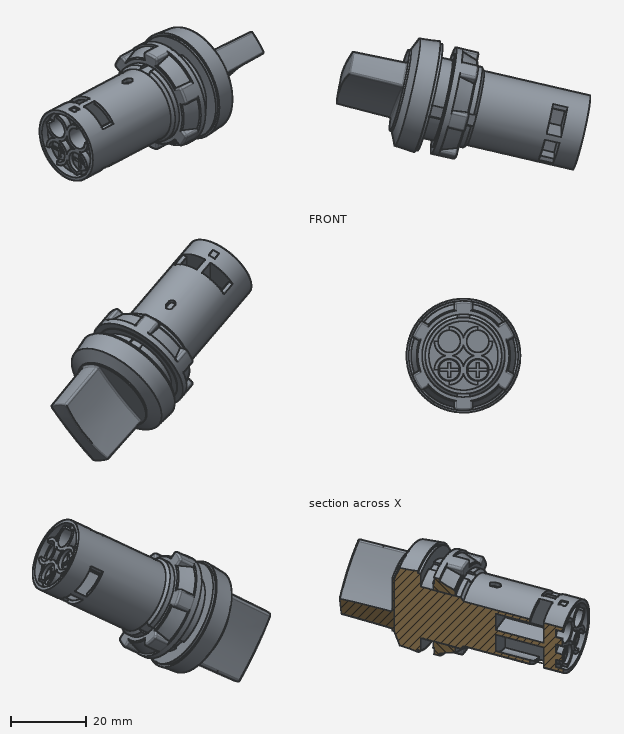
import cadquery as cq
TOTAL_LENGTH = 65.5

BARREL_RADIUS = 10.15
NECK_RADIUS = 11.0
NECK_START = 29.0
NECK_CHAMFER = 0.8
KEYWAY_WIDTH = 3.35

BEZEL_START = 41.45
BEZEL_SEAT_RADIUS = 14.55
BEZEL_RIM_Y = 42.25
BEZEL_RADIUS = 30.3 / 2
BEZEL_SHOULDER_Y = 47.6
BEZEL_SHOULDER_RADIUS = 14.7
BEZEL_FRONT_Y = 49.25
BEZEL_FRONT_RADIUS = 11.1

BARREL_BORE_RADIUS = 9.2
RECESS_DEPTH = 2.1
TERMINAL_OFFSET = 3.8
TERMINAL_BORE_RADIUS = 2.95
TERMINAL_BORE_DEPTH = 4.9
BOSS_RADIUS = 3.9
BOSS_SETBACK = 0.25

SCREW_RADIUS = 2.785
SCREW_SETBACK = 1.3
SCREW_SLOT_WIDTH = 0.8
SCREW_SLOT_DEPTH = 0.8
SCREW_SLOT_LENGTH_X = 5.0
SCREW_SLOT_LENGTH_Z = 3.9
SCREW_HUB_SIZE = 1.2

WINDOW_START = 5.75
WINDOW_LENGTH = 3.9
WINDOW_SILL_Z = 6.15
CHAMBER_INNER_X = 0.85
CHAMBER_OUTER_X = 6.9
CHAMBER_INNER_Z = 0.85
CHAMBER_END = 19.65
CATCH_START = 2.0
CATCH_WIDTH = 1.95
CATCH_LENGTH = 2.0
CATCH_SHALLOW_DEPTH = 0.1
CATCH_DEEP_DEPTH = 0.65
SLOT_CENTRE_Y = 22.85
SLOT_LENGTH = 3.15
SLOT_WIDTH = 1.95
SLOT_DEPTH = 1.3

NUT_START = 31.3
NUT_RIM_START = 35.95
NUT_RIM_END = 37.65
NUT_END = 37.9
NUT_RIM_RADIUS = 14.55
NUT_PAD_RADIUS = 12.8
CONE_LARGE_RADIUS = 13.9
CONE_SMALL_RADIUS = 12.45
CONE_END_CHAMFER = 0.3
LUG_COUNT = 6
LUG_ROOT_RADIUS = 11.65
LUG_WIDTH = 4.9
LUG_SIDE_FILLET = 0.7
LUG_END_FILLET = 0.5

KNOB_DISC_RADIUS = BEZEL_FRONT_RADIUS
KNOB_DISC_THICKNESS = 0.5
GRIP_ANGLE = -45
GRIP_HALF_LENGTH = 10.1
GRIP_HALF_THICKNESS = 3.75
GRIP_SIDE_SAG = 0.8
GRIP_END_BULGE = 0.4
GRIP_DRAFT = 1.0
GRIP_CROWN_RADIUS = 60.25
GRIP_EDGE_FILLET = 0.6
GRIP_CROWN_FILLET = 0.25
GRIP_ROOT_FILLET = 0.45

OVERSHOOT = 0.65


def cross_section(y):
    """Sketch plane across the axis: local x is X and local y is Z."""
    return cq.Workplane("XZ", origin=(0, y, 0))


def cylinder(radius, start, end, x=0, z=0):
    return cross_section(start).center(x, z).circle(radius).extrude(start - end)


def block(x_range, y_range, z_range):
    """Box between the given limits on each axis."""
    sizes = [limits[1] - limits[0] for limits in (x_range, y_range, z_range)]
    return (
        cq.Workplane("XY")
        .box(*sizes, centered=False)
        .translate((x_range[0], y_range[0], z_range[0]))
    )


def spin(profile):
    """Turn a (radius, y) profile about the Y axis."""
    return profile.close().revolve(360, (0, 0), (0, 1))


def make_housing_shell():
    """Barrel, threaded neck and bezel as one turned shape."""
    return spin(
        cq.Workplane("XY")
        .moveTo(0, 0)
        .lineTo(BARREL_RADIUS, 0)
        .lineTo(BARREL_RADIUS, NECK_START)
        .lineTo(NECK_RADIUS, NECK_START + NECK_CHAMFER)
        .lineTo(NECK_RADIUS, BEZEL_START)
        .lineTo(BEZEL_SEAT_RADIUS, BEZEL_START)
        .lineTo(BEZEL_SEAT_RADIUS, BEZEL_RIM_Y)
        .lineTo(BEZEL_RADIUS, BEZEL_RIM_Y)
        .lineTo(BEZEL_SHOULDER_RADIUS, BEZEL_SHOULDER_Y)
        .lineTo(BEZEL_FRONT_RADIUS, BEZEL_FRONT_Y)
        .lineTo(0, BEZEL_FRONT_Y)
    )


def make_keyway(side):
    """Flat-bottomed groove along the neck, on top (side = 1) or below (side = -1)."""
    half_width = KEYWAY_WIDTH / 2
    z_limits = sorted((side * BARREL_RADIUS, side * (NECK_RADIUS + OVERSHOOT)))
    return block((-half_width, half_width), (NECK_START, BEZEL_START), z_limits)


def make_terminal_recess():
    """End recess that leaves four linked bosses standing, each open in its outer quarter."""
    recess = cylinder(BARREL_BORE_RADIUS, 0, RECESS_DEPTH)
    for side_x in (-1, 1):
        for side_z in (-1, 1):
            x = side_x * TERMINAL_OFFSET
            z = side_z * TERMINAL_OFFSET
            boss = cylinder(BOSS_RADIUS, BOSS_SETBACK, RECESS_DEPTH, x, z)
            outer_quarter = block(
                sorted((x, side_x * BARREL_BORE_RADIUS)),
                (0, RECESS_DEPTH),
                sorted((z, side_z * BARREL_BORE_RADIUS)),
            )
            recess = recess.cut(boss.cut(outer_quarter))
    return recess


def make_screw(x):
    """Cross-slotted screw head standing in a lower terminal bore."""
    z = -TERMINAL_OFFSET
    head = cylinder(SCREW_RADIUS, SCREW_SETBACK, TERMINAL_BORE_DEPTH, x, z)
    face = cross_section(SCREW_SETBACK).center(x, z)
    cross = (
        face.rect(SCREW_SLOT_LENGTH_X, SCREW_SLOT_WIDTH)
        .extrude(-SCREW_SLOT_DEPTH)
        .union(face.rect(SCREW_SLOT_WIDTH, SCREW_SLOT_LENGTH_Z).extrude(-SCREW_SLOT_DEPTH))
    )
    hub = (
        cross_section(SCREW_SETBACK)
        .rect(SCREW_HUB_SIZE, SCREW_HUB_SIZE)
        .extrude(-SCREW_SLOT_DEPTH)
        .rotate((0, 0, 0), (0, 1, 0), 45)
        .translate((x, 0, z))
    )
    return head.cut(cross).cut(hub)


def make_chamber(side_x, side_z):
    """One quarter of the barrel's hollow inside, with its window out through the wall."""
    quarter = block(
        sorted((side_x * CHAMBER_INNER_X, side_x * CHAMBER_OUTER_X)),
        (WINDOW_START, CHAMBER_END),
        sorted((side_z * CHAMBER_INNER_Z, side_z * BARREL_RADIUS)),
    )
    chamber = quarter.intersect(cylinder(BARREL_BORE_RADIUS, WINDOW_START, CHAMBER_END))
    window = block(
        sorted((side_x * CHAMBER_INNER_X, side_x * BARREL_RADIUS)),
        (WINDOW_START, WINDOW_START + WINDOW_LENGTH),
        sorted((side_z * WINDOW_SILL_Z, side_z * (BARREL_RADIUS + OVERSHOOT))),
    )
    return chamber.union(window)


def make_catch():
    """Square notch on top of the barrel whose floor slopes down away from the terminals."""
    catch_end = CATCH_START + CATCH_LENGTH
    outside = BARREL_RADIUS + OVERSHOOT
    return (
        cq.Workplane("YZ")
        .moveTo(CATCH_START, outside)
        .lineTo(CATCH_START, BARREL_RADIUS - CATCH_SHALLOW_DEPTH)
        .lineTo(catch_end, BARREL_RADIUS - CATCH_DEEP_DEPTH)
        .lineTo(catch_end, outside)
        .close()
        .extrude(CATCH_WIDTH / 2, both=True)
    )


def make_top_slot():
    """Rounded slot on top of the barrel, long along Y."""
    return (
        cq.Workplane("XY", origin=(0, SLOT_CENTRE_Y, BARREL_RADIUS - SLOT_DEPTH))
        .slot2D(SLOT_LENGTH, SLOT_WIDTH, 90)
        .extrude(SLOT_DEPTH + OVERSHOOT)
    )


def make_housing():
    """Barrel with terminals, neck and bezel in one body."""
    housing = make_housing_shell().cut(make_terminal_recess())
    for side_x in (-1, 1):
        x = side_x * TERMINAL_OFFSET
        for side_z in (-1, 1):
            z = side_z * TERMINAL_OFFSET
            housing = housing.cut(cylinder(TERMINAL_BORE_RADIUS, 0, TERMINAL_BORE_DEPTH, x, z))
            housing = housing.cut(make_chamber(side_x, side_z))
        housing = housing.union(make_screw(x))
    for side in (-1, 1):
        housing = housing.cut(make_keyway(side))
    return housing.cut(make_catch()).cut(make_top_slot())


def make_lug():
    """One grip lug of the nut, pointing up along Z, with rounded outer and end edges."""
    half_width = LUG_WIDTH / 2
    lug = block(
        (-half_width, half_width),
        (NUT_START, NUT_RIM_START),
        (LUG_ROOT_RADIUS, NUT_RIM_RADIUS + OVERSHOOT),
    )
    lug = lug.intersect(cylinder(NUT_RIM_RADIUS, NUT_START, NUT_RIM_START))
    lug = lug.edges("|Y").edges(">Z").fillet(LUG_SIDE_FILLET)
    inner_edge = cq.selectors.BoxSelector(
        (-half_width, NUT_START - 0.65, LUG_ROOT_RADIUS - 0.65),
        (half_width, NUT_START + 0.65, LUG_ROOT_RADIUS + 0.65),
    )
    return lug.faces("<Y").edges(cq.selectors.InverseSelector(inner_edge)).fillet(LUG_END_FILLET)


def make_nut():
    """Threaded ring: a conical skirt with lugs, a rim and a thin pad facing the bezel."""
    nut = spin(
        cq.Workplane("XY")
        .moveTo(0, NUT_START)
        .lineTo(CONE_SMALL_RADIUS - CONE_END_CHAMFER, NUT_START)
        .lineTo(CONE_SMALL_RADIUS, NUT_START + CONE_END_CHAMFER)
        .lineTo(CONE_LARGE_RADIUS, NUT_RIM_START)
        .lineTo(0, NUT_RIM_START)
    )
    lug = make_lug()
    for index in range(LUG_COUNT):
        nut = nut.union(lug.rotate((0, 0, 0), (0, 1, 0), index * 360 / LUG_COUNT))
    nut = nut.union(cylinder(NUT_RIM_RADIUS, NUT_RIM_START, NUT_RIM_END))
    nut = nut.union(cylinder(NUT_PAD_RADIUS, NUT_RIM_END, NUT_END))
    return nut.cut(cylinder(NECK_RADIUS, NUT_START, NUT_END))


def make_grip():
    """Tapered grip with hollow broad sides, bulged narrow ends and an arched crown."""
    length = GRIP_HALF_LENGTH
    thickness = GRIP_HALF_THICKNESS
    grip = (
        cq.Workplane(cq.Plane((0, BEZEL_FRONT_Y, 0), xDir=(1, 0, 0), normal=(0, 1, 0)))
        .moveTo(-length, -thickness)
        .threePointArc((0, GRIP_SIDE_SAG - thickness), (length, -thickness))
        .threePointArc((length + GRIP_END_BULGE, 0), (length, thickness))
        .threePointArc((0, thickness - GRIP_SIDE_SAG), (-length, thickness))
        .threePointArc((-length - GRIP_END_BULGE, 0), (-length, -thickness))
        .close()
        .extrude(TOTAL_LENGTH + OVERSHOOT - BEZEL_FRONT_Y, taper=GRIP_DRAFT)
    )
    grip = grip.edges("not(>Y or <Y)").fillet(GRIP_EDGE_FILLET)
    crown = (
        cq.Workplane("XY")
        .center(0, TOTAL_LENGTH - GRIP_CROWN_RADIUS)
        .circle(GRIP_CROWN_RADIUS)
        .extrude(2 * thickness, both=True)
    )
    return grip.intersect(crown).faces(">Y").edges().fillet(GRIP_CROWN_FILLET)


def make_knob():
    """Disc seated on the bezel, with the grip rising from it at 45 degrees."""
    disc_top = BEZEL_FRONT_Y + KNOB_DISC_THICKNESS
    disc = cylinder(KNOB_DISC_RADIUS, BEZEL_FRONT_Y, disc_top)
    knob = disc.union(make_grip().rotate((0, 0, 0), (0, 1, 0), GRIP_ANGLE)).solids()
    grip_root = knob.edges().filter(
        lambda edge: abs(edge.Center().y - disc_top) < 0.005 and edge.Length() < 2 * KNOB_DISC_RADIUS
    )
    return cq.Workplane(knob.val().fillet(GRIP_ROOT_FILLET, grip_root.vals()))


housing = make_housing()
nut = make_nut()
knob = make_knob()

result = cq.Compound.makeCompound([housing.val(), nut.val(), knob.val()])